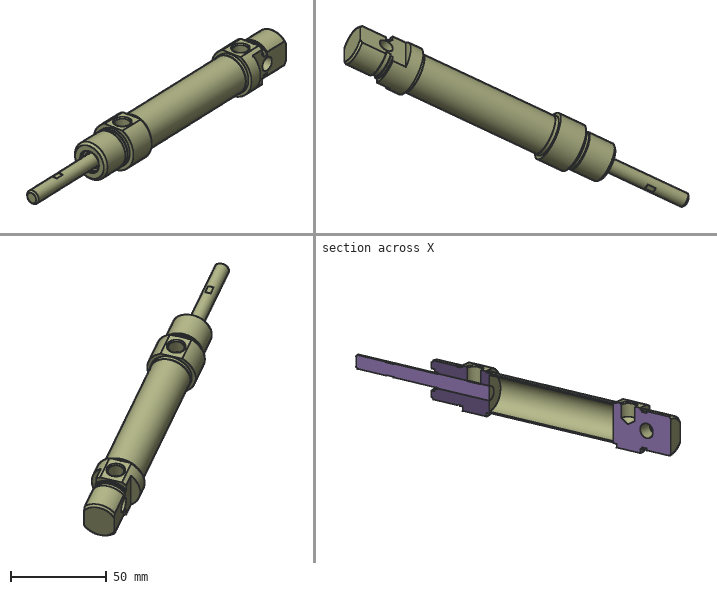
import cadquery as cq
import math

LENGTH = 204.0

COLLAR_DIA = 27.0
COLLAR_LENGTH = 15.5
FLAT_HEIGHT = 12.0
LIP_DIA = 22.8
LIP_LENGTH = 2.0
CAP_DIA = 22.0

REAR_CHAMFER = 1.2
REAR_GROOVE_STATION = 16.0
REAR_GROOVE_LENGTH = 2.9
REAR_GROOVE_DIA = 20.0
REAR_COLLAR_STATION = 20.0
TONGUE_WIDTH = 16.7
TONGUE_END_STATION = 28.0
PIVOT_STATION = 16.0
PIVOT_DIA = 8.0

FRONT_COLLAR_STATION = 119.5
NOSE_SHOULDER_LENGTH = 1.6
NOSE_GROOVE_LENGTH = 2.0
NOSE_GROOVE_DIA = 21.2
NOSE_BACK_CHAMFER = 0.5
NOSE_END_STATION = 155.2
NOSE_END_DIA = 19.2
NOSE_RECESS_DIA = 12.0
NOSE_RECESS_DEPTH = 2.0
NOSE_RECESS_CHAMFER = 0.5
ROD_CLEARANCE_DIA = 9.2
ROD_CLEARANCE_DEPTH = 4.0

PORT_DIA = 8.5
PORT_MOUTH_DIA = 10.0
REAR_PORT_STATION = 28.0
FRONT_PORT_STATION = 127.5
REAR_PORT_DEPTH = 8.2
DRILL_POINT_ANGLE = 118.0

TUBE_DIA = 22.2
TUBE_BORE_DIA = 20.0
ROD_DIA = 8.0
ROD_TIP_DIA = 6.0
ROD_TIP_CHAMFER = 1.0
ROD_FLAT_STATION = 179.7
ROD_FLAT_LENGTH = 4.9
ROD_FLAT_HEIGHT = 3.7

REAR_COLLAR_END = REAR_COLLAR_STATION + COLLAR_LENGTH
TUBE_START = REAR_COLLAR_END + LIP_LENGTH
TUBE_END = FRONT_COLLAR_STATION - LIP_LENGTH
FRONT_COLLAR_END = FRONT_COLLAR_STATION + COLLAR_LENGTH


def turned(*points):
    """Solid of revolution about Y through (station, diameter) points."""
    outline = [(diameter / 2, -station) for station, diameter in points]
    first_station = points[0][0]
    last_station = points[-1][0]
    closed_outline = [(0, -first_station), *outline, (0, -last_station)]
    return cq.Workplane("XY").polyline(closed_outline).close().revolve(360, (0, 0), (0, 1))


def rod_bar(diameter, start, end):
    return turned((start, diameter), (end, diameter))


def block(width, height, start, end, x=0, z=0):
    """Box between two stations, centred at (x, z)."""
    middle = -(start + end) / 2
    return cq.Workplane("XY").box(width, end - start, height).translate((x, middle, z))


def cut_top_flat(cap, start):
    """Flat seat on top of a collar that begins at the given station."""
    seat_height = COLLAR_DIA / 2 - FLAT_HEIGHT
    seat_middle = FLAT_HEIGHT + seat_height / 2
    return cap.cut(block(COLLAR_DIA, seat_height, start, start + COLLAR_LENGTH, z=seat_middle))


def port_tool(station, depth, point_depth=0.0):
    """Vertical drill with a countersunk mouth, ending flat or in a point."""
    radius = PORT_DIA / 2
    mouth_radius = PORT_MOUTH_DIA / 2
    bottom = FLAT_HEIGHT - depth
    mouth_bottom = FLAT_HEIGHT - (mouth_radius - radius)
    outline = [(0, FLAT_HEIGHT), (mouth_radius, FLAT_HEIGHT), (radius, mouth_bottom), (radius, bottom)]
    outline.append((0, bottom - point_depth))
    tool = cq.Workplane("XZ").polyline(outline).close().revolve(360, (0, 0), (0, 1))
    return tool.translate((0, -station, 0))


def make_rear_cap():
    groove_end = REAR_GROOVE_STATION + REAR_GROOVE_LENGTH
    cap = turned(
        (0, CAP_DIA - 2 * REAR_CHAMFER),
        (REAR_CHAMFER, CAP_DIA),
        (REAR_GROOVE_STATION, CAP_DIA),
        (REAR_GROOVE_STATION, REAR_GROOVE_DIA),
        (groove_end, REAR_GROOVE_DIA),
        (groove_end, CAP_DIA),
        (REAR_COLLAR_STATION, CAP_DIA),
        (REAR_COLLAR_STATION, COLLAR_DIA),
        (REAR_COLLAR_END, COLLAR_DIA),
        (REAR_COLLAR_END, LIP_DIA),
        (TUBE_START, LIP_DIA),
    )
    cap = cut_top_flat(cap, REAR_COLLAR_STATION)

    side_width = (COLLAR_DIA - TONGUE_WIDTH) / 2
    side_middle = (COLLAR_DIA + TONGUE_WIDTH) / 4
    for side in (-1, 1):
        cap = cap.cut(block(side_width, COLLAR_DIA, 0, TONGUE_END_STATION, x=side * side_middle))
    pivot = cq.Workplane("YZ").center(-PIVOT_STATION, 0).circle(PIVOT_DIA / 2)
    cap = cap.cut(pivot.extrude(COLLAR_DIA / 2, both=True))

    point_depth = PORT_DIA / 2 / math.tan(math.radians(DRILL_POINT_ANGLE / 2))
    return cap.cut(port_tool(REAR_PORT_STATION, REAR_PORT_DEPTH, point_depth))


def make_front_cap():
    groove_start = FRONT_COLLAR_END + NOSE_SHOULDER_LENGTH
    groove_end = groove_start + NOSE_GROOVE_LENGTH
    nose_chamfer = (CAP_DIA - NOSE_END_DIA) / 2
    cap = turned(
        (TUBE_END, LIP_DIA),
        (FRONT_COLLAR_STATION, LIP_DIA),
        (FRONT_COLLAR_STATION, COLLAR_DIA),
        (FRONT_COLLAR_END, COLLAR_DIA),
        (FRONT_COLLAR_END, CAP_DIA),
        (groove_start, CAP_DIA),
        (groove_start, NOSE_GROOVE_DIA),
        (groove_end - NOSE_BACK_CHAMFER, NOSE_GROOVE_DIA),
        (groove_end, CAP_DIA),
        (NOSE_END_STATION - nose_chamfer, CAP_DIA),
        (NOSE_END_STATION, NOSE_END_DIA),
    )
    cap = cut_top_flat(cap, FRONT_COLLAR_STATION)

    recess_start = NOSE_END_STATION - NOSE_RECESS_DEPTH
    clearance_start = NOSE_END_STATION - ROD_CLEARANCE_DEPTH
    cap = cap.cut(rod_bar(ROD_DIA, TUBE_END, NOSE_END_STATION))
    cap = cap.cut(rod_bar(ROD_CLEARANCE_DIA, clearance_start, NOSE_END_STATION))
    recess = turned(
        (recess_start, NOSE_RECESS_DIA),
        (NOSE_END_STATION - NOSE_RECESS_CHAMFER, NOSE_RECESS_DIA),
        (NOSE_END_STATION, NOSE_RECESS_DIA + 2 * NOSE_RECESS_CHAMFER),
    )
    cap = cap.cut(recess)

    return cap.cut(port_tool(FRONT_PORT_STATION, FLAT_HEIGHT))


def make_tube():
    return rod_bar(TUBE_DIA, TUBE_START, TUBE_END).cut(rod_bar(TUBE_BORE_DIA, TUBE_START, TUBE_END))


def make_rod():
    rod = turned(
        (TUBE_END, ROD_DIA),
        (LENGTH - ROD_TIP_CHAMFER, ROD_DIA),
        (LENGTH, ROD_TIP_DIA),
    )
    flat_end = ROD_FLAT_STATION + ROD_FLAT_LENGTH
    flat_middle = ROD_FLAT_HEIGHT + ROD_DIA / 2
    for side in (-1, 1):
        rod = rod.cut(block(ROD_DIA, ROD_DIA, ROD_FLAT_STATION, flat_end, z=side * flat_middle))
    return rod


rear_cap = make_rear_cap()
tube = make_tube()
front_cap = make_front_cap()
piston_rod = make_rod()

result = cq.Compound.makeCompound([rear_cap.val(), tube.val(), front_cap.val(), piston_rod.val()])